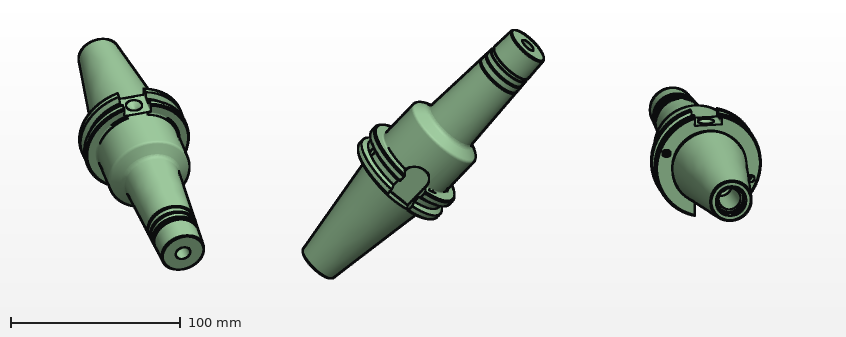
import cadquery as cq
import math

TAPER_RATIO = 7 / 24
GAUGE_DIA = 44.6
TAPER_LENGTH = 68.1
TAPER_END_CHAMFER = 0.5
NECK_DIA = 43.7
NECK_START = 70.0

FLANGE_DIA = 63.3
FLANGE_START = 71.2
FLANGE_WIDTH = 16.0
FLANGE_CHAMFER = 0.8
GROOVE_FLOOR_DIA = 56.3
GROOVE_FLOOR_WIDTH = 4.0
GROOVE_FLANK_ANGLE = 28

BODY_DIA = 49.5
BODY_BLEND = 1.0
SHOULDER_START = 113.7
SHOULDER_ANGLE = 60
SHOULDER_OUTER_FILLET = 2.0
SHOULDER_INNER_FILLET = 3.0

LENGTH = 188.2
NOSE_ROOT_DIA = 33.5
NOSE_TIP_DIA = 26.0
NOSE_TIP_CHAMFER = 0.5
NARROW_RING_WIDTH = 0.5
WIDE_RING_WIDTH = 2.3
RING_GROOVES = (
    (161.9, NARROW_RING_WIDTH),
    (166.8, NARROW_RING_WIDTH),
    (172.0, WIDE_RING_WIDTH),
)
RING_GROOVE_DEPTH = 0.5

RECESS_DIA = 16.4
RECESS_MOUTH_DIA = 18.3
RECESS_MOUTH_DEPTH = 1.5
RECESS_DEPTH = 4.7
THREAD_BORE_DIA = 13.2
THREAD_BORE_DEPTH = 32.0
THROUGH_DIA = 8.8
DRILL_POINT_ANGLE = 118

SLOT_WIDTH = 16.2
TOP_SLOT_FLOOR = 25.2
BOTTOM_SLOT_FLOOR = 22.5
SLOT_CORNER_FILLET = 0.5
BOTTOM_SLOT_LENGTH = 24.5
DIMPLE_DIA = 9.6

COOLANT_MOUTH_DIA = 4.1
COOLANT_MOUTH_DEPTH = 1.9
COOLANT_HOLE_DIA = 3.2
COOLANT_HOLE_LENGTH = 9.2
CROSS_HOLE_DIA = 4.0
COOLANT_SLANT = 30
COOLANT_CIRCLE_DIA = 53.8
COOLANT_ANGLE = 20

FLANGE_END = FLANGE_START + FLANGE_WIDTH
FLANGE_MIDDLE = FLANGE_START + FLANGE_WIDTH / 2
SHOULDER_DROP = (BODY_DIA - NOSE_ROOT_DIA) / 2
SHOULDER_END = SHOULDER_START + SHOULDER_DROP / math.tan(math.radians(SHOULDER_ANGLE))
CUT_MARGIN = 1.9


def revolve_about_x(points):
    """Revolve a closed (X, radius) outline around the X axis."""
    return cq.Workplane("XY").polyline(points).close().revolve(360, (0, 0, 0), (1, 0, 0))


def make_shank():
    """Tapered shank with a small end chamfer and a short neck reaching into the flange."""
    gauge_r = GAUGE_DIA / 2
    neck_r = NECK_DIA / 2
    small_r = gauge_r - TAPER_LENGTH * TAPER_RATIO / 2
    return revolve_about_x([
        (0, 0),
        (0, small_r - TAPER_END_CHAMFER),
        (TAPER_END_CHAMFER, small_r + TAPER_END_CHAMFER * TAPER_RATIO / 2),
        (TAPER_LENGTH, gauge_r),
        (NECK_START, neck_r),
        (FLANGE_MIDDLE, neck_r),
        (FLANGE_MIDDLE, 0),
    ])


def make_flange():
    """Flange disc with chamfered rims and a V-flanked gripper groove."""
    flange = cq.Workplane("YZ", origin=(FLANGE_START, 0, 0)).circle(FLANGE_DIA / 2)
    flange = flange.extrude(FLANGE_WIDTH).edges().chamfer(FLANGE_CHAMFER)
    outer_r = FLANGE_DIA / 2
    floor_r = GROOVE_FLOOR_DIA / 2
    half_floor = GROOVE_FLOOR_WIDTH / 2
    half_mouth = half_floor + (outer_r - floor_r) * math.tan(math.radians(GROOVE_FLANK_ANGLE))
    groove = revolve_about_x([
        (FLANGE_MIDDLE - half_floor, floor_r),
        (FLANGE_MIDDLE - half_mouth, outer_r),
        (FLANGE_MIDDLE - half_mouth, outer_r + CUT_MARGIN),
        (FLANGE_MIDDLE + half_mouth, outer_r + CUT_MARGIN),
        (FLANGE_MIDDLE + half_mouth, outer_r),
        (FLANGE_MIDDLE + half_floor, floor_r),
    ])
    return flange.cut(groove)


def nose_radius(x):
    """Radius of the tapered nose at position x."""
    fraction = (x - SHOULDER_END) / (LENGTH - SHOULDER_END)
    return (NOSE_ROOT_DIA + fraction * (NOSE_TIP_DIA - NOSE_ROOT_DIA)) / 2


def make_body_and_nose():
    """Cylindrical body, steep filleted shoulder and slender tapered nose."""
    body_r = BODY_DIA / 2
    body = (
        cq.Workplane("XY")
        .moveTo(FLANGE_MIDDLE, 0)
        .lineTo(FLANGE_MIDDLE, body_r + BODY_BLEND)
        .lineTo(FLANGE_END, body_r + BODY_BLEND)
        .radiusArc((FLANGE_END + BODY_BLEND, body_r), -BODY_BLEND)
        .lineTo(SHOULDER_START, body_r)
        .lineTo(SHOULDER_END, nose_radius(SHOULDER_END))
        .lineTo(LENGTH, nose_radius(LENGTH))
        .lineTo(LENGTH, 0)
        .close()
        .revolve(360, (0, 0, 0), (1, 0, 0))
    )
    for x, radius in ((SHOULDER_START, SHOULDER_OUTER_FILLET), (SHOULDER_END, SHOULDER_INNER_FILLET)):
        near_rim = cq.selectors.BoxSelector(
            (x - CUT_MARGIN, -BODY_DIA, -BODY_DIA),
            (x + CUT_MARGIN, BODY_DIA, BODY_DIA),
        )
        body = body.edges("%CIRCLE").edges(near_rim).fillet(radius)
    return body.faces(">X").edges().chamfer(NOSE_TIP_CHAMFER)


def ring_groove(x, width):
    """Shallow groove around the nose, centred on x."""
    outer_r = nose_radius(x)
    ring = cq.Workplane("YZ", origin=(x - width / 2, 0, 0))
    return ring.circle(outer_r + CUT_MARGIN).circle(outer_r - RING_GROOVE_DEPTH).extrude(width)


def make_bore():
    """Stepped bore from the small end, narrowing to the through hole."""
    thread_r = THREAD_BORE_DIA / 2
    through_r = THROUGH_DIA / 2
    cone_length = (thread_r - through_r) / math.tan(math.radians(DRILL_POINT_ANGLE / 2))
    recess_r = RECESS_DIA / 2
    return revolve_about_x([
        (0, 0),
        (0, RECESS_MOUTH_DIA / 2),
        (RECESS_MOUTH_DEPTH, recess_r),
        (RECESS_DEPTH, recess_r),
        (RECESS_DEPTH, thread_r),
        (THREAD_BORE_DEPTH, thread_r),
        (THREAD_BORE_DEPTH + cone_length, through_r),
        (LENGTH, through_r),
        (LENGTH, 0),
    ])


def make_top_slot():
    """Straight slot across the flange with a conical dimple in its floor."""
    slot = cq.Workplane("XY", origin=(FLANGE_MIDDLE, 0, TOP_SLOT_FLOOR))
    slot = slot.rect(FLANGE_WIDTH + 2 * CUT_MARGIN, SLOT_WIDTH).extrude(FLANGE_DIA / 2)
    slot = slot.edges("<Z and |X").fillet(SLOT_CORNER_FILLET)
    dimple_r = DIMPLE_DIA / 2
    dimple_depth = dimple_r / math.tan(math.radians(DRILL_POINT_ANGLE / 2))
    dimple_tip = cq.Vector(FLANGE_MIDDLE, 0, TOP_SLOT_FLOOR - dimple_depth)
    dimple = cq.Solid.makeCone(0, dimple_r, dimple_depth, dimple_tip)
    return slot.union(cq.Workplane(dimple))


def make_bottom_slot():
    """Slot that ends in a full half round, cut into the body behind the flange."""
    end_r = SLOT_WIDTH / 2
    round_centre = FLANGE_START + BOTTOM_SLOT_LENGTH - end_r
    front = FLANGE_START - CUT_MARGIN
    return (
        cq.Workplane("XY", origin=(0, 0, -BOTTOM_SLOT_FLOOR))
        .moveTo(front, -end_r)
        .lineTo(round_centre, -end_r)
        .threePointArc((round_centre + end_r, 0), (round_centre, end_r))
        .lineTo(front, end_r)
        .close()
        .extrude(-FLANGE_DIA / 2)
    )


def make_coolant_hole(angle):
    """Slanted stepped hole from the flange front and the radial hole that meets its inner end."""
    slant = math.radians(COOLANT_SLANT)
    mouth_r = COOLANT_CIRCLE_DIA / 2
    direction = cq.Vector(math.cos(slant), -math.sin(slant), 0)
    mouth = cq.Vector(FLANGE_START, mouth_r, 0)
    inner_end = mouth + direction * COOLANT_HOLE_LENGTH
    start = mouth - direction * CUT_MARGIN
    wide = cq.Solid.makeCylinder(COOLANT_MOUTH_DIA / 2, COOLANT_MOUTH_DEPTH + CUT_MARGIN, start, direction)
    narrow = cq.Solid.makeCylinder(COOLANT_HOLE_DIA / 2, COOLANT_HOLE_LENGTH, mouth, direction)
    radial = cq.Solid.makeCylinder(
        CROSS_HOLE_DIA / 2,
        FLANGE_DIA / 2 - inner_end.y,
        cq.Vector(FLANGE_MIDDLE, inner_end.y, 0),
        cq.Vector(0, 1, 0),
    )
    return cq.Workplane(wide.fuse(narrow, radial)).rotate((0, 0, 0), (1, 0, 0), angle)


result = make_shank().union(make_flange()).union(make_body_and_nose())
for groove_x, groove_width in RING_GROOVES:
    result = result.cut(ring_groove(groove_x, groove_width))
result = result.cut(make_bore()).cut(make_top_slot()).cut(make_bottom_slot())
for side_angle in (COOLANT_ANGLE, COOLANT_ANGLE + 180):
    result = result.cut(make_coolant_hole(side_angle))